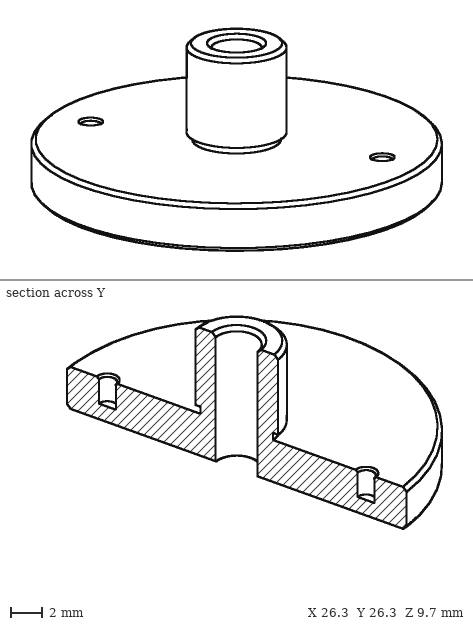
import cadquery as cq

flange_diameter = 26.3
flange_thickness = 3.2
edge_chamfer = 0.3

total_height = 9.7
hub_diameter = 6.42
neck_diameter = 5.68
neck_height = 0.5

bore_diameter = 3.2
bore_chamfer = 0.3

pin_hole_diameter = 1.25
pin_hole_depth = 2.0
pin_hole_chamfer = 0.15
pin_hole_offset = 10.0

hub_base = flange_thickness + neck_height


def cylinder(diameter, bottom, top):
    """Cylinder on the Z axis between two heights."""
    return cq.Workplane("XY").workplane(offset=bottom).circle(diameter / 2).extrude(top - bottom)


def countersunk_hole(diameter, bottom, top, chamfer):
    """Cutting tool for a hole whose upper rim is chamfered at 45 degrees."""
    radius = diameter / 2
    profile = [
        (0, bottom),
        (radius, bottom),
        (radius, top - chamfer),
        (radius + chamfer, top),
        (0, top),
    ]
    return cq.Workplane("XZ").polyline(profile).close().revolve(360, (0, 0), (0, 1))


flange = cylinder(flange_diameter, 0, flange_thickness).edges().chamfer(edge_chamfer)
neck = cylinder(neck_diameter, flange_thickness, hub_base)
hub = cylinder(hub_diameter, hub_base, total_height).edges(">Z").chamfer(edge_chamfer)

result = flange.union(neck).union(hub)

result = result.cut(countersunk_hole(bore_diameter, 0, total_height, bore_chamfer))

pin_hole = countersunk_hole(
    pin_hole_diameter, flange_thickness - pin_hole_depth, flange_thickness, pin_hole_chamfer
)
for side in (-1, 1):
    result = result.cut(pin_hole.translate((side * pin_hole_offset, 0, 0)))